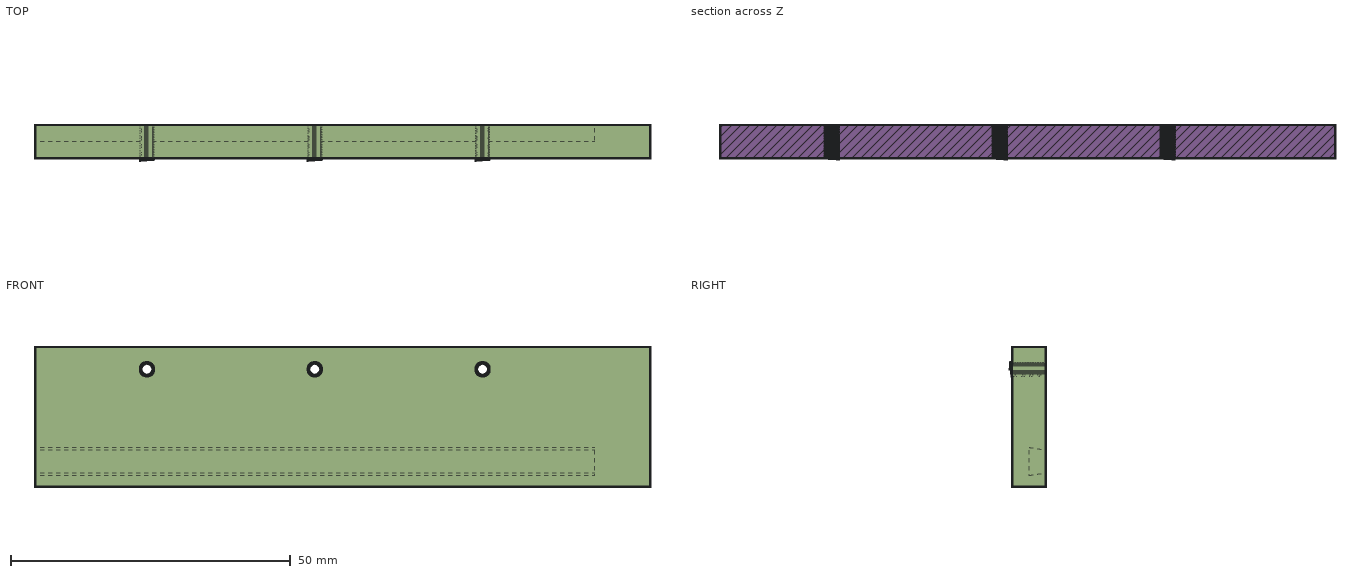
import cadquery as cq
import math

plate_length = 110.0
plate_thickness = 6.0
plate_height = 25.0

slot_depth = 3.0
slot_mouth_height = 4.1
slot_floor_height = 5.0
slot_center_z = 4.5
slot_end_wall = 10.0
slot_length = plate_length - slot_end_wall

hole_count = 3
hole_spacing = 30.0
first_hole_x = (slot_length - (hole_count - 1) * hole_spacing) / 2
hole_top_offset = 4.0
hole_z = plate_height - hole_top_offset

thread_diameter = 2.5
thread_pitch = 0.45
thread_height = 5 / 8 * thread_pitch * math.cos(math.radians(30))
thread_root_width = 7 / 8 * thread_pitch
thread_crest_width = thread_pitch / 4
thread_protrusion = 0.44
thread_overlap = 0.02
hole_radius = thread_diameter / 2


def make_plate():
    return cq.Workplane("XY").box(plate_length, plate_thickness, plate_height, centered=False)


def make_slot():
    """Dovetail prism, wider at its floor than at the back face."""
    floor_y = plate_thickness - slot_depth
    half_mouth = slot_mouth_height / 2
    half_floor = slot_floor_height / 2
    outline = [
        (plate_thickness, slot_center_z - half_mouth),
        (floor_y, slot_center_z - half_floor),
        (floor_y, slot_center_z + half_floor),
        (plate_thickness, slot_center_z + half_mouth),
    ]
    return cq.Workplane("YZ").polyline(outline).close().extrude(slot_length)


def make_hole(x):
    return (
        cq.Workplane("XZ", origin=(x, 0, hole_z))
        .circle(hole_radius)
        .extrude(-plate_thickness)
    )


def make_thread():
    """Right-handed thread ridge along +Z, starting on the -X side at Z = 0."""
    half_root = thread_root_width / 2
    half_crest = thread_crest_width / 2
    root_radius = hole_radius + thread_overlap
    crest_radius = hole_radius - thread_height
    run = plate_thickness + thread_protrusion - thread_root_width - thread_overlap
    helix = cq.Wire.makeHelix(thread_pitch, run, hole_radius)
    profile = [
        (root_radius, -half_root),
        (root_radius, half_root),
        (crest_radius, half_crest),
        (crest_radius, -half_crest),
    ]
    ridge = cq.Workplane("XZ").polyline(profile).close().sweep(cq.Workplane(helix), isFrenet=True)
    return ridge.rotate((0, 0, 0), (0, 0, 1), 180)


def place_thread(thread, x):
    """Turn the thread axis from +Z to +Y and move it to its hole."""
    start_y = thread_root_width / 2 - thread_protrusion
    return thread.rotate((0, 0, 0), (1, 0, 0), -90).translate((x, start_y, hole_z))


result = make_plate().cut(make_slot())
thread_ridge = make_thread()
for index in range(hole_count):
    hole_x = first_hole_x + index * hole_spacing
    result = result.cut(make_hole(hole_x))
    result = result.union(place_thread(thread_ridge, hole_x))